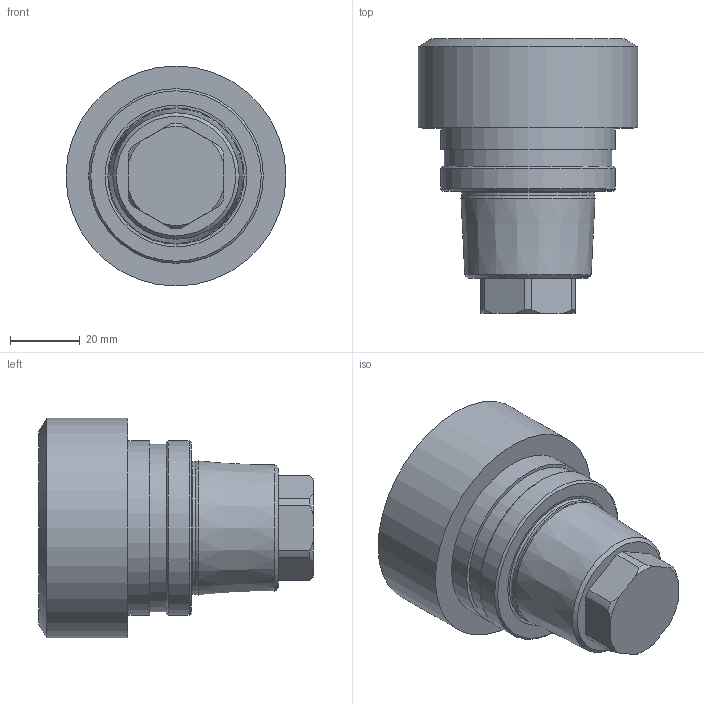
import cadquery as cq
import math


FLANGE_BACK_Y = 7.15
GROOVE_BACK_Y = 11.9
HEAD_FRONT_Y = 18.1
BACK_Y = 43.66

HEAD_RADIUS = 63 / 2
HEAD_CHAMFER_RADIAL = 4.0
HEAD_CHAMFER_ANGLE = math.radians(30)
HEAD_CHAMFER_AXIAL = HEAD_CHAMFER_RADIAL * math.tan(HEAD_CHAMFER_ANGLE)
FLANGE_RADIUS = 50 / 2
GROOVE_RADIUS = 48 / 2
FLANGE_CHAMFER = 0.6

SHANK_LENGTH = 25.0
SHANK_RADIUS = 19.2
TAPER_SLOPE = 1 / 20
TIP_CHAMFER = 1.0

UNDERCUT_LENGTH = 2.0
UNDERCUT_DEPTH = 0.2
UNDERCUT_FACE_WIDTH = 1.1
UNDERCUT_FILLET = 0.6
UNDERCUT_RUNOUT_ANGLE = math.radians(15)
UNDERCUT_FACE_ANGLE = math.radians(8)

HEX_SIDES = 6
HEX_LENGTH = 10.0
HEX_ACROSS_FLATS = 27.3
HEX_CORNER_RADIUS = 15.15
HEX_CHAMFER_AXIAL = 1.1
HEX_CHAMFER_RADIAL = 1.0


def shank_radius(distance):
    """Taper radius at a distance in front of the flange face."""
    return SHANK_RADIUS - (distance - UNDERCUT_LENGTH) * TAPER_SLOPE


def revolve_y(profile):
    """Turn a closed (radius, y) profile around the Y axis."""
    return profile.close().revolve(360, (0, 0, 0), (0, 1, 0))


def make_turned_body():
    neck_radius = SHANK_RADIUS - UNDERCUT_DEPTH
    runout_length = UNDERCUT_DEPTH / math.tan(UNDERCUT_RUNOUT_ANGLE)
    undercut_rim = SHANK_RADIUS + UNDERCUT_FACE_WIDTH

    fillet_center_radius = neck_radius + UNDERCUT_FILLET
    fillet_end_radius = fillet_center_radius - UNDERCUT_FILLET * math.sin(UNDERCUT_FACE_ANGLE)
    fillet_end_y = (undercut_rim - fillet_end_radius) * math.tan(UNDERCUT_FACE_ANGLE)
    fillet_center_y = fillet_end_y - UNDERCUT_FILLET * math.cos(UNDERCUT_FACE_ANGLE)
    fillet_middle_angle = (math.pi / 2 + UNDERCUT_FACE_ANGLE + math.pi) / 2
    fillet_middle = (
        fillet_center_radius + UNDERCUT_FILLET * math.cos(fillet_middle_angle),
        fillet_center_y + UNDERCUT_FILLET * math.sin(fillet_middle_angle),
    )

    tip_radius = shank_radius(SHANK_LENGTH - TIP_CHAMFER)
    profile = (
        cq.Workplane("XY")
        .moveTo(0, BACK_Y)
        .lineTo(HEAD_RADIUS - HEAD_CHAMFER_RADIAL, BACK_Y)
        .lineTo(HEAD_RADIUS, BACK_Y - HEAD_CHAMFER_AXIAL)
        .lineTo(HEAD_RADIUS, HEAD_FRONT_Y)
        .lineTo(FLANGE_RADIUS, HEAD_FRONT_Y)
        .lineTo(FLANGE_RADIUS, GROOVE_BACK_Y)
        .lineTo(GROOVE_RADIUS, GROOVE_BACK_Y)
        .lineTo(GROOVE_RADIUS, FLANGE_BACK_Y)
        .lineTo(FLANGE_RADIUS - FLANGE_CHAMFER, FLANGE_BACK_Y)
        .lineTo(FLANGE_RADIUS, FLANGE_BACK_Y - FLANGE_CHAMFER)
        .lineTo(FLANGE_RADIUS, FLANGE_CHAMFER)
        .lineTo(FLANGE_RADIUS - FLANGE_CHAMFER, 0)
        .lineTo(undercut_rim, 0)
        .lineTo(fillet_end_radius, fillet_end_y)
        .threePointArc(fillet_middle, (neck_radius, fillet_center_y))
        .lineTo(neck_radius, runout_length - UNDERCUT_LENGTH)
        .lineTo(SHANK_RADIUS, -UNDERCUT_LENGTH)
        .lineTo(tip_radius, TIP_CHAMFER - SHANK_LENGTH)
        .lineTo(tip_radius - TIP_CHAMFER, -SHANK_LENGTH)
        .lineTo(0, -SHANK_LENGTH)
    )
    return revolve_y(profile)


def make_hexagon():
    """Hexagon with flats at +X and -X, turned corners and a chamfered end."""
    hex_end_y = -SHANK_LENGTH - HEX_LENGTH
    prism = (
        cq.Workplane("XZ", origin=(0, -SHANK_LENGTH, 0))
        .polygon(HEX_SIDES, HEX_ACROSS_FLATS, circumscribed=True)
        .extrude(HEX_LENGTH)
    )
    envelope = revolve_y(
        cq.Workplane("XY")
        .moveTo(0, -SHANK_LENGTH)
        .lineTo(HEX_CORNER_RADIUS, -SHANK_LENGTH)
        .lineTo(HEX_CORNER_RADIUS, hex_end_y + HEX_CHAMFER_AXIAL)
        .lineTo(HEX_CORNER_RADIUS - HEX_CHAMFER_RADIAL, hex_end_y)
        .lineTo(0, hex_end_y)
    )
    return prism.intersect(envelope)


result = make_turned_body().union(make_hexagon())